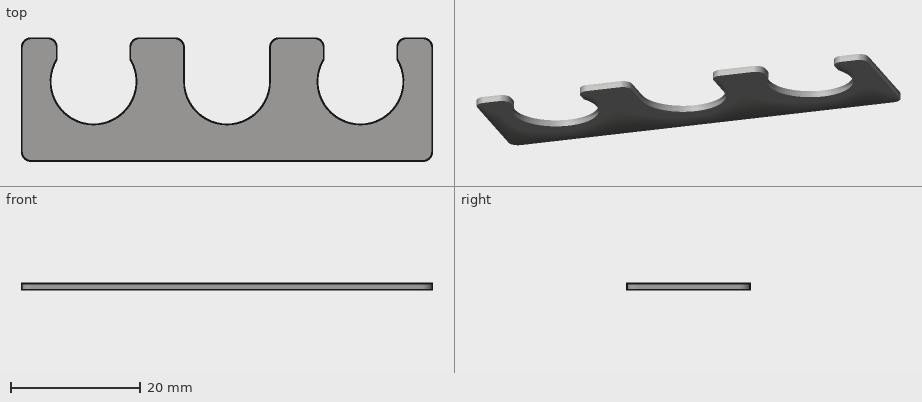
import cadquery as cq

length = 63.5
width = 19.05
thickness = 1.0
corner_radius = 1.5

seat_diameter = 13.25
seat_spacing = 20.64
floor_width = 5.7
snap_throat_width = 11.3

back_y = width / 2
seat_y = -width / 2 + floor_width + seat_diameter / 2


def make_seat(center_x, throat_width):
    """Round seat with a straight throat running out through the back edge."""
    throat_length = back_y - seat_y
    seat = cq.Workplane("XY").center(center_x, seat_y).circle(seat_diameter / 2).extrude(thickness)
    throat = (
        cq.Workplane("XY")
        .center(center_x, seat_y + throat_length / 2)
        .rect(throat_width, throat_length)
        .extrude(thickness)
    )
    return seat.union(throat)


plate = cq.Workplane("XY").box(length, width, thickness, centered=(True, True, False))

for center_x, throat_width in (
    (-seat_spacing, snap_throat_width),
    (0, seat_diameter),
    (seat_spacing, snap_throat_width),
):
    plate = plate.cut(make_seat(center_x, throat_width))

plate = plate.faces("<Y or >Y").edges("|Z").fillet(corner_radius)

result = plate